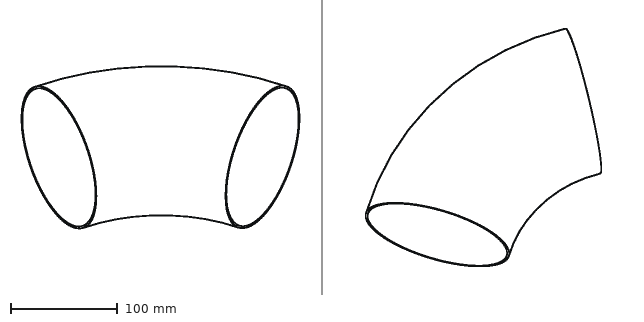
import cadquery as cq
import math

BEND_ANGLE = 60.0
ELBOW_LENGTH = 225.5
PIPE_DIAMETER = 139.8
WALL = 2.0

pipe_radius = PIPE_DIAMETER / 2
bore_radius = pipe_radius - WALL

outer_bend_radius = ELBOW_LENGTH / math.sin(math.radians(BEND_ANGLE))
bend_radius = outer_bend_radius - pipe_radius

inlet_ring = cq.Workplane("XZ").circle(pipe_radius).circle(bore_radius)
result = inlet_ring.revolve(BEND_ANGLE, (bend_radius, 0, 0), (bend_radius, -1, 0))